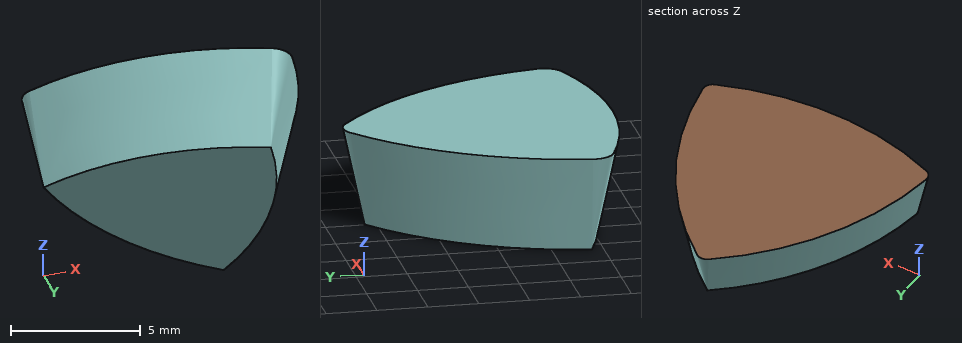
import cadquery as cq
import math

width = 10.93
depth = 10.6
height = 3.97
relief_angle = 12.0
corner_radius = 0.85

corner_angles = (90, 210, 330)
half_sector = 60

half_chord = width / 2 - corner_radius
corner_distance = half_chord / math.sin(math.radians(half_sector))
side_distance = depth - corner_distance - corner_radius

chord_rise = side_distance - corner_distance * math.cos(math.radians(half_sector))
round_rise = chord_rise - corner_radius
side_radius = corner_radius + (half_chord**2 + round_rise**2) / (2 * round_rise)

side_half_angle = math.degrees(math.asin(half_chord / (side_radius - corner_radius)))


def corner_point(corner_angle, direction):
    """Point on a corner round, in the given direction from the round's center."""
    corner = math.radians(corner_angle)
    outward = math.radians(direction)
    return (
        corner_distance * math.cos(corner) + corner_radius * math.cos(outward),
        corner_distance * math.sin(corner) + corner_radius * math.sin(outward),
    )


def top_outline():
    """Three convex sides joined by tangent corner rounds, counterclockwise."""
    tangent_offset = half_sector - side_half_angle
    outline = cq.Workplane("XY").moveTo(*corner_point(corner_angles[0], corner_angles[0] - tangent_offset))
    for angle in corner_angles:
        round_end = corner_point(angle, angle + tangent_offset)
        outline = outline.threePointArc(corner_point(angle, angle), round_end)
        side_angle = math.radians(angle + half_sector)
        side_middle = (side_distance * math.cos(side_angle), side_distance * math.sin(side_angle))
        next_corner = angle + 2 * half_sector
        next_round = corner_point(next_corner, next_corner - tangent_offset)
        outline = outline.threePointArc(side_middle, next_round)
    return outline.close()


result = top_outline().extrude(-height, taper=relief_angle)